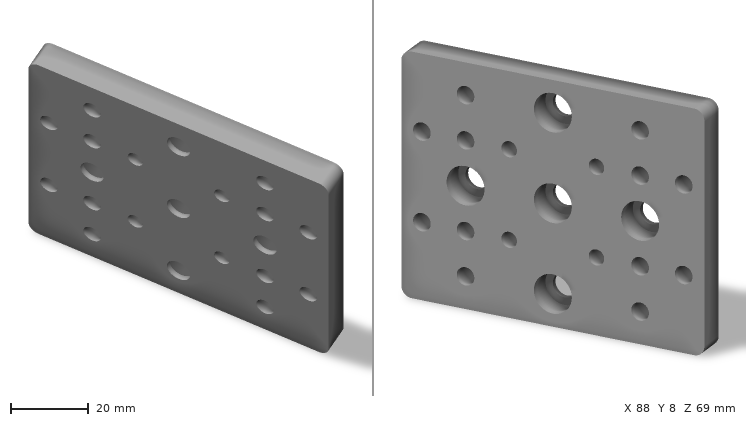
import cadquery as cq

length = 88.0
thickness = 8.0
height = 69.0
corner_radius = 3.0

pitch = 12.7
large_diameter = 6.8
medium_diameter = 5.1
small_diameter = 4.5

counterbore_diameter = 11.0
counterbore_depth = 6.5

large_spots = [(0, 0), (-2, 0), (2, 0), (0, -2), (0, 2)]
medium_spots = [
    (side * column, row)
    for side in (-1, 1)
    for column, row in ((2, -2), (2, -1), (2, 1), (2, 2), (3, -1), (3, 1))
]
small_spots = [(column, row) for column in (-1, 1) for row in (-1, 1)]


def drill(plate, spots, diameter, depth=thickness):
    """Drill holes at the given grid spots, going in from the back face."""
    points = [(column * pitch, row * pitch) for column, row in spots]
    cutter = (
        cq.Workplane("XZ", origin=(0, thickness / 2, 0))
        .pushPoints(points)
        .circle(diameter / 2)
        .extrude(depth)
    )
    return plate.cut(cutter)


plate = cq.Workplane("XY").box(length, thickness, height).edges("|Y").fillet(corner_radius)
plate = drill(plate, large_spots, large_diameter)
plate = drill(plate, large_spots, counterbore_diameter, counterbore_depth)
plate = drill(plate, medium_spots, medium_diameter)
result = drill(plate, small_spots, small_diameter)